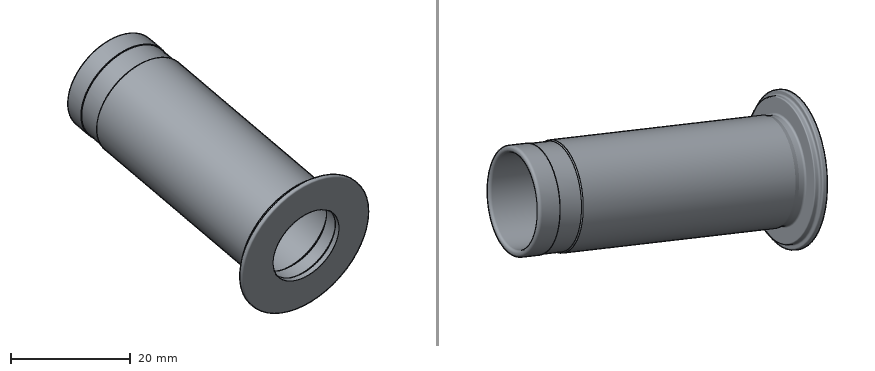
import cadquery as cq

length = 52.5

body_radius = 19.05 / 2
neck_radius = 18.65 / 2
nose_radius = 18.85 / 2
lip_round = 0.5
groove_start = 3.9
groove_end = 8.25
groove_radius = 18.65 / 2
groove_start_slope = 0.1
groove_end_slope = 0.2
body_end = 48.5
neck_start = 49.3
neck_end = 50.2

step_face = 50.55
step_radius = 25.0 / 2
step_round = 0.2
step_end = 51.2
rim_face = 51.5
rim_radius = 27.0 / 2
rim_round = 0.25
flange_root_radius = 9.7

bore_radius = 16.5 / 2
throat_radius = 15.0 / 2
outlet_radius = 14.0 / 2
throat_start = 48.5
outlet_start = 51.5
bore_end = throat_start - (bore_radius - throat_radius)
throat_end = outlet_start - (throat_radius - outlet_radius)

profile = (
    cq.Workplane("XY")
    .moveTo(0, bore_radius + lip_round)
    .lineTo(0, nose_radius - lip_round)
    .radiusArc((lip_round, nose_radius), lip_round)
    .lineTo(groove_start, nose_radius)
    .lineTo(groove_start + groove_start_slope, groove_radius)
    .lineTo(groove_end - groove_end_slope, groove_radius)
    .lineTo(groove_end, body_radius)
    .lineTo(body_end, body_radius)
    .lineTo(neck_start, neck_radius)
    .lineTo(neck_end, neck_radius)
    .tangentArcPoint((step_face, flange_root_radius), relative=False)
    .lineTo(step_face, step_radius - step_round)
    .tangentArcPoint((step_face + step_round, step_radius), relative=False)
    .lineTo(step_end, step_radius)
    .tangentArcPoint((rim_face, step_radius + rim_face - step_end), relative=False)
    .lineTo(rim_face, rim_radius - rim_round)
    .tangentArcPoint((rim_face + rim_round, rim_radius), relative=False)
    .lineTo(length - rim_round, rim_radius)
    .tangentArcPoint((length, rim_radius - rim_round), relative=False)
    .lineTo(length, outlet_radius)
    .lineTo(outlet_start, outlet_radius)
    .lineTo(throat_end, throat_radius)
    .lineTo(throat_start, throat_radius)
    .lineTo(bore_end, bore_radius)
    .lineTo(lip_round, bore_radius)
    .tangentArcPoint((0, bore_radius + lip_round), relative=False)
    .close()
)

result = profile.revolve(360, (0, 0, 0), (1, 0, 0))